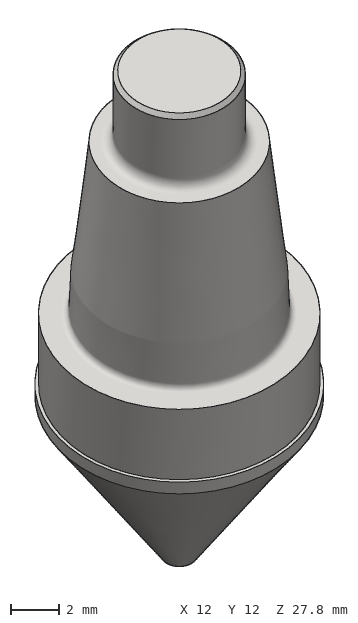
import cadquery as cq
import math

rim_radius = 6.0
point_radius = 0.78
point_height = 0.3
rim_bottom_z = 9.35
rim_top_z = 10.0

collar_diameter = 11.7
collar_radius = collar_diameter / 2
collar_top_z = 14.0
collar_fillet = 0.3
shank_base_radius = 4.6
shank_middle_radius = 4.5
shank_middle_z = 16.5
shank_top_radius = 3.75
shank_top_z = 23.8
pin_radius = 2.75
pin_fillet = 0.5
pin_chamfer = 0.2
total_height = 27.8


def fillet_midpoint(radius, z, size):
    """Middle of a concave quarter-round between a wall at radius and a floor at z."""
    offset = size * (1 - math.sqrt(0.5))
    return (radius + offset, z + offset)


def make_tip():
    """Steep cone pointing down, ending in a shallow conical point, with a rim on top."""
    return (
        cq.Workplane("XZ")
        .lineTo(point_radius, point_height)
        .lineTo(rim_radius, rim_bottom_z)
        .lineTo(rim_radius, rim_top_z)
        .lineTo(0, rim_top_z)
        .close()
        .revolve(360, (0, 0), (0, 1))
    )


def make_holder():
    """Collar seated on the tip, carrying the shank and the pin."""
    return (
        cq.Workplane("XZ")
        .moveTo(0, rim_top_z)
        .lineTo(collar_radius, rim_top_z)
        .lineTo(collar_radius, collar_top_z)
        .lineTo(shank_base_radius + collar_fillet, collar_top_z)
        .threePointArc(
            fillet_midpoint(shank_base_radius, collar_top_z, collar_fillet),
            (shank_base_radius, collar_top_z + collar_fillet),
        )
        .lineTo(shank_middle_radius, shank_middle_z)
        .lineTo(shank_top_radius, shank_top_z)
        .lineTo(pin_radius + pin_fillet, shank_top_z)
        .threePointArc(
            fillet_midpoint(pin_radius, shank_top_z, pin_fillet),
            (pin_radius, shank_top_z + pin_fillet),
        )
        .lineTo(pin_radius, total_height - pin_chamfer)
        .lineTo(pin_radius - pin_chamfer, total_height)
        .lineTo(0, total_height)
        .close()
        .revolve(360, (0, 0), (0, 1))
    )


tip = make_tip()
holder = make_holder()

result = cq.Compound.makeCompound([tip.val(), holder.val()])